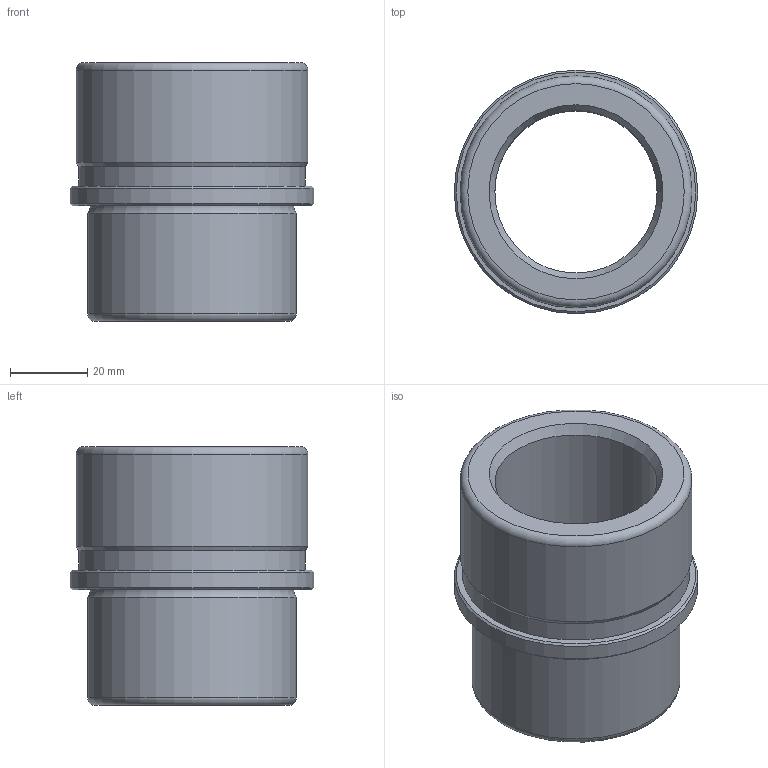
import cadquery as cq
import math

height = 67.0

upper_radius = 30.0
rim_fillet = 2.0

groove_radius = 29.35
groove_cone_angle = math.radians(30)
groove_cone_height = (upper_radius - groove_radius) / math.tan(groove_cone_angle)
groove_height = 6.2

collar_radius = 31.5
collar_bottom = 30.0
collar_height = 5.0
collar_chamfer = 0.5
collar_top = collar_bottom + collar_height

spigot_radius = 27.0
relief_depth = 0.7
relief_height = 2.0
relief_curve_radius = (relief_depth**2 + relief_height**2) / (2 * relief_depth)

bore_radius = 21.0
lead_in_width = 1.5
lead_in_angle = math.radians(30)
lead_in_depth = lead_in_width / math.tan(lead_in_angle)


def cylinder(radius, bottom, top):
    """Solid cylinder on the Z axis between two heights."""
    return cq.Workplane("XY").workplane(offset=bottom).circle(radius).extrude(top - bottom)


def make_upper_body():
    groove_top = collar_top + groove_height
    body = cylinder(upper_radius, groove_top - groove_cone_height, height)
    body = body.faces(">Z").edges().fillet(rim_fillet)
    body = body.faces("<Z").edges().chamfer(groove_cone_height, upper_radius - groove_radius)
    return body.union(cylinder(groove_radius, collar_top, groove_top))


def make_collar():
    return cylinder(collar_radius, collar_bottom, collar_top).edges().chamfer(collar_chamfer)


def make_spigot():
    """Spigot profile revolved; the relief arc runs vertical where it meets the collar."""
    relief_bottom = collar_bottom - relief_height
    neck_radius = spigot_radius - relief_depth
    half_sweep = math.asin(relief_height / relief_curve_radius) / 2
    arc_middle = (
        neck_radius + relief_curve_radius * (1 - math.cos(half_sweep)),
        collar_bottom - relief_curve_radius * math.sin(half_sweep),
    )
    spigot = (
        cq.Workplane("XZ")
        .lineTo(spigot_radius, 0)
        .lineTo(spigot_radius, relief_bottom)
        .threePointArc(arc_middle, (neck_radius, collar_bottom))
        .lineTo(0, collar_bottom)
        .close()
        .revolve(360, (0, 0, 0), (0, 1, 0))
    )
    return spigot.faces("<Z").edges().fillet(rim_fillet)


def cut_bore(body):
    bored = body.cut(cylinder(bore_radius, 0, height))
    top_edge = bored.faces(">Z").edges(cq.selectors.RadiusNthSelector(0))
    return top_edge.chamfer(lead_in_depth, lead_in_width)


result = cut_bore(make_spigot().union(make_collar()).union(make_upper_body()))